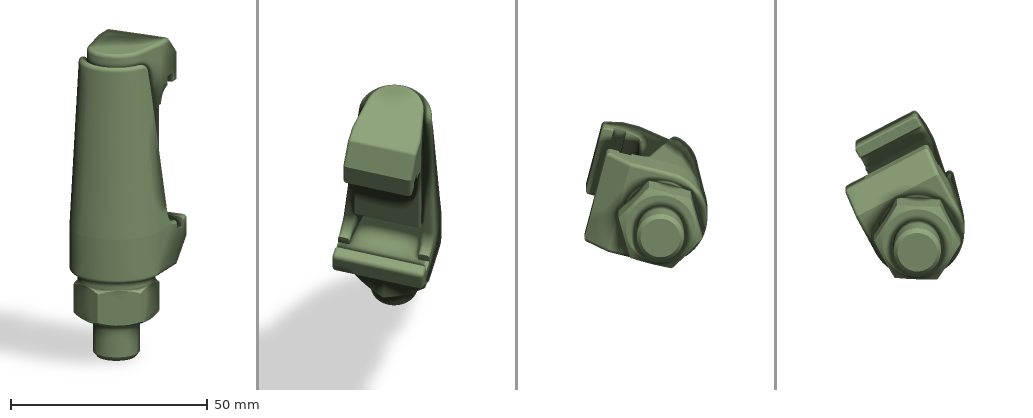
import cadquery as cq
import math

body_width = 24.0
total_depth = 29.5

stud_radius = 6.0
stud_chamfer_height = 1.2
stud_chamfer_width = 1.0
nut_bottom = 10.4
nut_top = 20.55
nut_flats = 19.05
nut_face_radius = 8.8
nut_chamfer_slope = math.tan(math.radians(30))
collar_radius = 10.0

body_bottom = 22.7
body_radius = body_width / 2
block_top = 34.6
jaw_overhang = 0.4
slide_back = total_depth - body_radius
body_back = slide_back - jaw_overhang
body_draft = 3.1
body_chamfer_back = 11.0

arm_top = 79.45
arm_slope = math.tan(math.radians(9.6))
arm_foot = 6.8
arm_foot_round = 4.4
arm_top_round = 2.5

slide_top = 82.5
slide_half_width = 9.0
slide_nose_radius = 7.5
slide_taper_start = 7.9
slide_kink_round = 1.65
slide_chamfer = 4.95
jaw_bottom = 70.05
stem_bottom = 41.25
stem_back = 7.7
jaw_lip_round = 0.5
jaw_throat_round = 3.9

groove_width = 3.3
groove_depth = 2.5
lower_groove_front = 10.65
upper_groove_front = 11.3
channel_floor = block_top - groove_depth

edge_round = 1.0
overlap = 0.8
tolerance = 0.04
far_front = -2 * body_radius
far_back = 2 * body_back


def side_outline(points):
    """Prism across the whole width from (y, z) points."""
    return cq.Workplane("YZ").polyline(points).close().extrude(body_width, both=True)


def rounded(solid, wanted, radius):
    """Round every edge whose bounding box passes the wanted test."""
    edges = [edge for edge in solid.edges().vals() if wanted(edge.BoundingBox())]
    return solid.newObject(edges).fillet(radius)


def round_cross_edge(solid, y, z, radius):
    """Round the edge that runs along X through (y, z)."""
    return solid.edges(cq.selectors.NearestToPointSelector((0, y, z))).fillet(radius)


def side_block(front, back, bottom, top):
    """Rectangular prism across the whole width."""
    return side_outline([(front, bottom), (back, bottom), (back, top), (front, top)])


def body_plan(z, back, radius=body_radius):
    """Half-round front with straight sides running back."""
    return (
        cq.Workplane("XY", origin=(0, 0, z))
        .moveTo(-radius, back)
        .lineTo(-radius, 0)
        .threePointArc((0, -radius), (radius, 0))
        .lineTo(radius, back)
        .close()
    )


def slide_prism(bottom, top, back):
    """Slide section: parallel sides, then tangent flanks onto a round nose."""
    reach = math.hypot(slide_half_width, slide_taper_start)
    tangent_angle = (
        math.atan2(slide_taper_start, slide_half_width)
        - math.acos(slide_nose_radius / reach)
    )
    nose_x = slide_nose_radius * math.cos(tangent_angle)
    nose_y = slide_nose_radius * math.sin(tangent_angle)
    prism = (
        cq.Workplane("XY", origin=(0, 0, bottom))
        .moveTo(-slide_half_width, back)
        .lineTo(-slide_half_width, slide_taper_start)
        .lineTo(-nose_x, nose_y)
        .threePointArc((0, -slide_nose_radius), (nose_x, nose_y))
        .lineTo(slide_half_width, slide_taper_start)
        .lineTo(slide_half_width, back)
        .close()
        .extrude(top - bottom)
    )

    def is_kink(box):
        upright = box.xlen < tolerance and box.ylen < tolerance
        return upright and abs(box.ymin - slide_taper_start) < tolerance

    return rounded(prism, is_kink, slide_kink_round)


def make_stud():
    """Round stud with a chamfered tip."""
    stud_top = nut_bottom + overlap
    tip_radius = stud_radius - stud_chamfer_width
    return (
        cq.Workplane("XZ")
        .polyline([
            (0, 0),
            (tip_radius, 0),
            (stud_radius, stud_chamfer_height),
            (stud_radius, stud_top),
            (0, stud_top),
        ])
        .close()
        .revolve(360, (0, 0), (0, 1))
    )


def make_nut():
    """Hexagon with flats on +X and -X and both faces chamfered round."""
    corner_radius = nut_flats / math.sqrt(3)
    outer_radius = corner_radius + overlap
    drop = (outer_radius - nut_face_radius) * nut_chamfer_slope
    envelope = (
        cq.Workplane("XZ")
        .polyline([
            (0, nut_bottom),
            (nut_face_radius, nut_bottom),
            (outer_radius, nut_bottom + drop),
            (outer_radius, nut_top - drop),
            (nut_face_radius, nut_top),
            (0, nut_top),
        ])
        .close()
        .revolve(360, (0, 0), (0, 1))
    )
    hexagon = (
        cq.Workplane("XY", origin=(0, 0, nut_bottom))
        .transformed(rotate=(0, 0, 90))
        .polygon(6, 2 * corner_radius)
        .extrude(nut_top - nut_bottom)
    )
    return hexagon.intersect(envelope)


def make_collar():
    """Plain disc between the nut and the block."""
    height = body_bottom + overlap - nut_top
    return cq.Workplane("XY", origin=(0, 0, nut_top)).circle(collar_radius).extrude(height)


def make_block():
    """Lower block: straight wall, sloped back and the ridge of the lower jaw."""
    ridge_front = lower_groove_front + groove_width
    slope = body_back - body_chamfer_back
    block = body_plan(body_bottom, body_back).extrude(block_top - body_bottom)
    block = block.cut(side_outline([
        (body_chamfer_back, body_bottom),
        (body_back, body_bottom),
        (body_back, body_bottom + slope),
    ]))
    block = block.cut(side_block(far_front, ridge_front, channel_floor, block_top))

    def is_exposed(box):
        on_side = box.xlen < tolerance
        lower_rim = on_side and box.zmax < channel_floor - tolerance and box.ylen > tolerance
        nose = box.zmax < body_bottom + tolerance and box.ymin < -tolerance
        jaw_side = on_side and box.ymin > ridge_front - tolerance and box.zmax > channel_floor
        jaw_side = jaw_side and box.ymax > ridge_front + tolerance
        jaw_back = box.ymin > body_back - tolerance and box.zmin > block_top - tolerance
        return lower_rim or nose or jaw_side or jaw_back

    return rounded(block, is_exposed, edge_round)


def make_arms():
    """Tapered wall around the slide, its sloped back edge and top rounded over."""
    height = arm_top - channel_floor
    peak_y = arm_foot - (arm_top - block_top) * arm_slope
    side = side_outline([
        (far_front, channel_floor),
        (lower_groove_front, channel_floor),
        (lower_groove_front, block_top),
        (arm_foot, block_top),
        (peak_y, arm_top),
        (far_front, arm_top),
    ])
    side = round_cross_edge(side, arm_foot, block_top, arm_foot_round)
    side = round_cross_edge(side, peak_y, arm_top, arm_top_round)

    base_growth = groove_depth * math.tan(math.radians(body_draft))
    wall = body_plan(channel_floor, far_back, body_radius + base_growth)
    arms = wall.extrude(height, taper=body_draft).intersect(side)
    arms = arms.cut(slide_prism(channel_floor, slide_top, far_back))

    def is_rim(box):
        above_base = box.zmin > block_top - tolerance
        across_wall = box.ylen < tolerance
        return above_base and not across_wall

    arms = rounded(arms, is_rim, edge_round)
    straight = body_plan(channel_floor, far_back).extrude(height)
    return arms.intersect(straight)


def make_slide_head():
    """Upper jaw: sloped back corner, clip groove and round throat."""
    throat_bottom = jaw_bottom - jaw_throat_round - tolerance
    side = side_outline([
        (far_front, throat_bottom),
        (stem_back, throat_bottom),
        (stem_back, jaw_bottom),
        (slide_back, jaw_bottom),
        (slide_back, slide_top - slide_chamfer),
        (slide_back - slide_chamfer, slide_top),
        (far_front, slide_top),
    ])
    side = round_cross_edge(side, stem_back, jaw_bottom, jaw_throat_round)
    head = slide_prism(throat_bottom, slide_top, slide_back).intersect(side)
    groove_back = upper_groove_front + groove_width
    groove_roof = jaw_bottom + groove_depth
    head = head.cut(side_block(upper_groove_front, groove_back, throat_bottom, groove_roof))

    def is_outer_rim(box):
        top_edge = box.zmin > slide_top - tolerance
        behind_groove = box.ymax > slide_back - tolerance
        back_side = box.xlen < tolerance and behind_groove and box.zmax > jaw_bottom + tolerance
        return top_edge or back_side

    def is_lip(box):
        return box.zmax < jaw_bottom + tolerance and box.ymax > groove_back + tolerance

    head = rounded(head, is_outer_rim, edge_round)
    return rounded(head, is_lip, jaw_lip_round)


def make_stem():
    """Flat-backed stem filling the channel, rounded along its back and lower edges."""
    stem_top = jaw_bottom - jaw_throat_round - tolerance
    stem = slide_prism(stem_bottom, stem_top, slide_back)
    stem = stem.cut(side_block(stem_back, far_back, stem_bottom, stem_top))

    def is_back_rim(box):
        return box.ymin > stem_back - tolerance and box.zmin < stem_top - tolerance

    return rounded(stem, is_back_rim, edge_round)


result = (
    make_stud()
    .union(make_nut())
    .union(make_collar())
    .union(make_block())
    .union(make_arms())
    .union(make_stem())
    .union(make_slide_head())
)